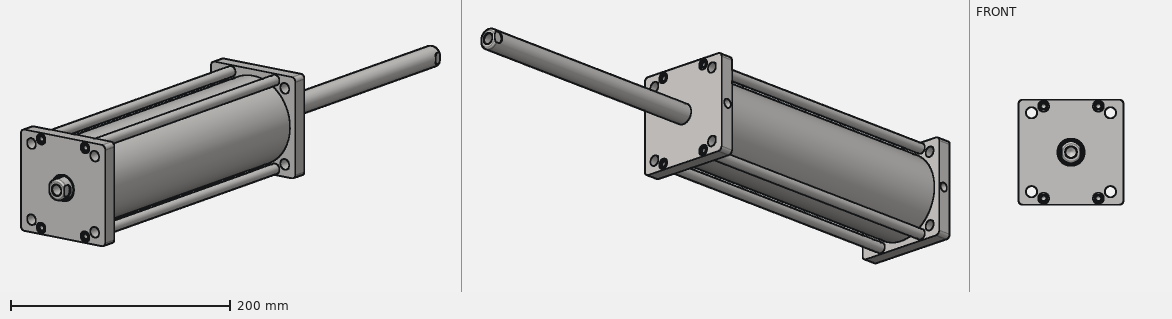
import cadquery as cq
import math

plate_side = 96.0
plate_thickness = 14.0
plate_corner_radius = 4.0
mount_hole_diameter = 10.0
mount_hole_offset = 36.0
port_diameter = 8.57
port_depth = 14.0
port_setback = 8.0
port_passage_diameter = 5.0
port_passage_depth = 10.5

bush_diameter = 25.0
bush_depth = 8.0
bush_recess_diameter = 23.0
bush_recess_depth = 3.0
bush_seat_diameter = 21.9
bush_seat_depth = 4.0

body_length = 304.0
tube_outer_diameter = 84.0
tube_inner_diameter = 80.0
tie_diameter = 10.0
tie_offset_x = 25.0
tie_offset_z = 42.0
tie_thread_diameter = 4.92
tie_thread_depth = 15.0
tie_countersink_diameter = 6.9

rod_diameter = 20.0
rod_front_reach = 10.0
rod_rear_reach = 260.0
rod_tip_fillet = 2.0
rod_flat_width = 17.0
rod_flat_length = 8.5
rod_flat_end_radius = 7.0
rod_thread_diameter = 10.11
rod_countersink_diameter = 11.0
rod_thread_depth = 20.0
drill_point_angle = 118.0

tube_length = body_length - 2 * plate_thickness
rod_length = rod_front_reach + body_length + rod_rear_reach
tie_points = [(sx * tie_offset_x, sz * tie_offset_z) for sx in (-1, 1) for sz in (-1, 1)]
mount_points = [(sx * mount_hole_offset, sz * mount_hole_offset) for sx in (-1, 1) for sz in (-1, 1)]


def cylinder_y(diameter, start, length, x=0.0, z=0.0):
    """Cylinder along +Y from y = start, centred on (x, z)."""
    return cq.Workplane(cq.Solid.makeCylinder(
        diameter / 2, length, cq.Vector(x, start, z), cq.Vector(0, 1, 0)))


def tapped_hole(diameter, countersink_diameter, depth, start, direction, x=0.0, z=0.0):
    """Blind hole along Y with a 90 degree countersink and a conical drill point."""
    axis = cq.Vector(0, direction, 0)
    point_length = diameter / 2 / math.tan(math.radians(drill_point_angle / 2))
    straight = cq.Solid.makeCylinder(diameter / 2, depth, cq.Vector(x, start, z), axis)
    point = cq.Solid.makeCone(
        diameter / 2, 0, point_length, cq.Vector(x, start + direction * depth, z), axis)
    countersink = cq.Solid.makeCone(
        countersink_diameter / 2, diameter / 2, (countersink_diameter - diameter) / 2,
        cq.Vector(x, start, z), axis)
    return cq.Workplane(straight.fuse(point, countersink))


def make_plate():
    """End plate with its outer face at y = 0 and a side port that turns inward to the tube."""
    plate = (
        cq.Workplane("XY")
        .box(plate_side, plate_thickness, plate_side)
        .translate((0, plate_thickness / 2, 0))
        .edges("|Y")
        .fillet(plate_corner_radius)
    )
    plate = plate.cut(cylinder_y(rod_diameter, 0, plate_thickness))
    for x, z in mount_points:
        plate = plate.cut(cylinder_y(mount_hole_diameter, 0, plate_thickness, x, z))
    for x, z in tie_points:
        plate = plate.cut(cylinder_y(tie_diameter, 0, plate_thickness, x, z))
    port = cq.Solid.makeCylinder(
        port_diameter / 2, port_depth,
        cq.Vector(-plate_side / 2, port_setback, 0), cq.Vector(1, 0, 0))
    passage_x = -plate_side / 2 + port_depth
    passage = cylinder_y(
        port_passage_diameter, plate_thickness - port_passage_depth, port_passage_depth, passage_x)
    return plate.cut(cq.Workplane(port)).cut(passage)


def make_front_plate():
    """End plate with a recess for the guide bush in its outer face."""
    return make_plate().cut(cylinder_y(bush_diameter, 0, bush_depth))


def make_rear_plate():
    """Mirrored end plate at the far end of the tube."""
    return make_plate().mirror("XZ").translate((0, body_length, 0))


def make_guide_bush():
    """Ring flush with the front plate that guides the piston rod."""
    bush = cylinder_y(bush_diameter, 0, bush_depth)
    bush = bush.cut(cylinder_y(bush_recess_diameter, 0, bush_recess_depth))
    bush = bush.cut(cylinder_y(bush_seat_diameter, 0, bush_seat_depth))
    return bush.cut(cylinder_y(rod_diameter, 0, bush_depth))


def make_tube():
    """Barrel held between the inner faces of the plates."""
    outer = cylinder_y(tube_outer_diameter, plate_thickness, tube_length)
    return outer.cut(cylinder_y(tube_inner_diameter, plate_thickness, tube_length))


def make_tie_rod(x, z):
    """Tie rod flush with the plates' outer faces, with a tapped hole in each end."""
    tie = cylinder_y(tie_diameter, 0, body_length, x, z)
    for tip, inward in ((0, 1), (body_length, -1)):
        tie = tie.cut(tapped_hole(
            tie_thread_diameter, tie_countersink_diameter, tie_thread_depth, tip, inward, x, z))
    return tie


def make_flat_cutter(side, tip, inward):
    """Waste beside one wrench flat, its inner end rounded by the milling cutter."""
    arc_centre = tip + inward * (rod_flat_length - rod_flat_end_radius)
    return (
        cq.Workplane("YZ", origin=(side * rod_flat_width / 2, arc_centre, 0))
        .circle(rod_flat_end_radius)
        .extrude(side * rod_diameter / 2)
    )


def make_piston_rod():
    """Double-ended rod with rounded, flatted and tapped ends."""
    start = -rod_front_reach
    end = start + rod_length
    rod = cylinder_y(rod_diameter, start, rod_length).faces("<Y or >Y").edges().fillet(rod_tip_fillet)
    for tip, inward in ((start, 1), (end, -1)):
        rod = rod.cut(tapped_hole(
            rod_thread_diameter, rod_countersink_diameter, rod_thread_depth, tip, inward))
        for side in (-1, 1):
            rod = rod.cut(make_flat_cutter(side, tip, inward))
    return rod


front_plate = make_front_plate()
rear_plate = make_rear_plate()
guide_bush = make_guide_bush()
tube = make_tube()
tie_rods = [make_tie_rod(x, z) for x, z in tie_points]
piston_rod = make_piston_rod()

result = cq.Compound.makeCompound([
    front_plate.val(),
    rear_plate.val(),
    guide_bush.val(),
    tube.val(),
    *[tie_rod.val() for tie_rod in tie_rods],
    piston_rod.val(),
])